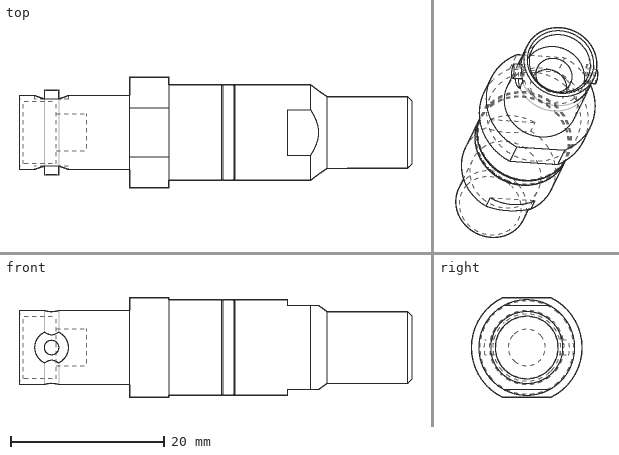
import cadquery as cq

SOCKET_RADIUS = 4.85
COLLAR_START = 14.4
COLLAR_LENGTH = 5.1
COLLAR_END = COLLAR_START + COLLAR_LENGTH
COLLAR_RADIUS = 7.235
COLLAR_ACROSS_FLATS = 13.0

MOUTH_RADIUS = 4.4
MOUTH_CHAMFER_LENGTH = 0.5
BORE_RADIUS = 4.05
BORE_DEPTH = 4.75
CONTACT_HOLE_RADIUS = 2.4
CONTACT_HOLE_DEPTH = 4.0

PIN_STATION = 4.2
PIN_RADIUS = 0.95
PIN_TIP_RADIUS = 5.55
SPOT_FACE_RADIUS = 2.2
SPOT_FACE_OFFSET = 4.4
GROOVE_WIDTH = 2 * PIN_RADIUS
GROOVE_DEPTH = 0.15

SLEEVE_RADIUS = 6.25
SEAM_CHAMFER = 0.15
SPACER_START = 26.55
SPACER_LENGTH = 1.43
SPACER_END = SPACER_START + SPACER_LENGTH

TOTAL_LENGTH = 51.25
SPANNER_FLAT_START = 35.0
SPANNER_ACROSS_FLATS = 11.0
CONE_START = 38.0
CONE_LENGTH = 2.15
CONE_END = CONE_START + CONE_LENGTH
TAIL_RADIUS = 4.7
TAIL_CHAMFER = 0.6


def cylinder(start, end, radius):
    """Cylinder on the connector axis (X)."""
    return cq.Workplane("YZ", origin=(start, 0, 0)).circle(radius).extrude(end - start)


def cone(start, length, start_radius, end_radius):
    """Truncated cone on the connector axis (X)."""
    base = cq.Vector(start, 0, 0)
    return cq.Workplane(cq.Solid.makeCone(start_radius, end_radius, length, base, cq.Vector(1, 0, 0)))


def cross_cylinder(start_y, end_y, radius):
    """Cylinder along Y at the station of the bayonet pins."""
    return cq.Workplane("XZ", origin=(PIN_STATION, start_y, 0)).circle(radius).extrude(start_y - end_y)


def flats_slab(start, end, across_flats):
    """Slab whose top and bottom faces become the flats of a body intersected with it."""
    size = (end - start, 2 * COLLAR_RADIUS, across_flats)
    return cq.Workplane("XY", origin=(start, 0, 0)).box(*size, centered=(False, True, True))


def bayonet_groove():
    """Cutter for the shallow groove with an arc profile around the barrel."""
    left = PIN_STATION - GROOVE_WIDTH / 2
    right = PIN_STATION + GROOVE_WIDTH / 2
    profile = (
        cq.Workplane("XY")
        .moveTo(left, SOCKET_RADIUS)
        .threePointArc((PIN_STATION, SOCKET_RADIUS - GROOVE_DEPTH), (right, SOCKET_RADIUS))
        .lineTo(right, COLLAR_RADIUS)
        .lineTo(left, COLLAR_RADIUS)
        .close()
    )
    return profile.revolve(360, (0, 0, 0), (1, 0, 0))


def bayonet_pins():
    """Rod across the barrel, with both tips rounded about the connector axis."""
    rod = cross_cylinder(-COLLAR_RADIUS, COLLAR_RADIUS, PIN_RADIUS)
    return rod.intersect(cylinder(0, COLLAR_START, PIN_TIP_RADIUS))


def socket_bore():
    """Cutter for the chamfered mouth, the bore and the blind contact hole in its floor."""
    mouth = cone(0, MOUTH_CHAMFER_LENGTH, MOUTH_RADIUS, BORE_RADIUS)
    bore = cylinder(0, BORE_DEPTH, BORE_RADIUS)
    contact_hole = cylinder(BORE_DEPTH, BORE_DEPTH + CONTACT_HOLE_DEPTH, CONTACT_HOLE_RADIUS)
    return bore.union(mouth).union(contact_hole)


def make_socket():
    barrel = cylinder(0, COLLAR_END, SOCKET_RADIUS).cut(bayonet_groove())
    for side in (-1, 1):
        spot_face = cross_cylinder(side * SPOT_FACE_OFFSET, side * COLLAR_RADIUS, SPOT_FACE_RADIUS)
        barrel = barrel.cut(spot_face)

    collar = cylinder(COLLAR_START, COLLAR_END, COLLAR_RADIUS)
    collar = collar.intersect(flats_slab(COLLAR_START, COLLAR_END, COLLAR_ACROSS_FLATS))
    sleeve = cylinder(COLLAR_END, SPACER_START, SLEEVE_RADIUS).faces(">X").chamfer(SEAM_CHAMFER)
    body = barrel.union(bayonet_pins()).union(collar).union(sleeve)
    return body.cut(socket_bore())


def make_spacer():
    return cylinder(SPACER_START, SPACER_END, SLEEVE_RADIUS)


def make_tail():
    sleeve = cylinder(SPACER_END, CONE_START, SLEEVE_RADIUS).faces("<X").chamfer(SEAM_CHAMFER)
    body = sleeve.union(cone(CONE_START, CONE_LENGTH, SLEEVE_RADIUS, TAIL_RADIUS))

    full_round = cylinder(SPACER_END, SPANNER_FLAT_START, SLEEVE_RADIUS)
    flatted = flats_slab(SPANNER_FLAT_START, CONE_END, SPANNER_ACROSS_FLATS)
    body = body.intersect(full_round.union(flatted))

    cable_end = cylinder(CONE_END, TOTAL_LENGTH, TAIL_RADIUS).faces(">X").chamfer(TAIL_CHAMFER)
    return body.union(cable_end)


socket = make_socket().solids()
spacer = make_spacer().solids()
tail = make_tail().solids()
result = cq.Compound.makeCompound([socket.val(), spacer.val(), tail.val()])